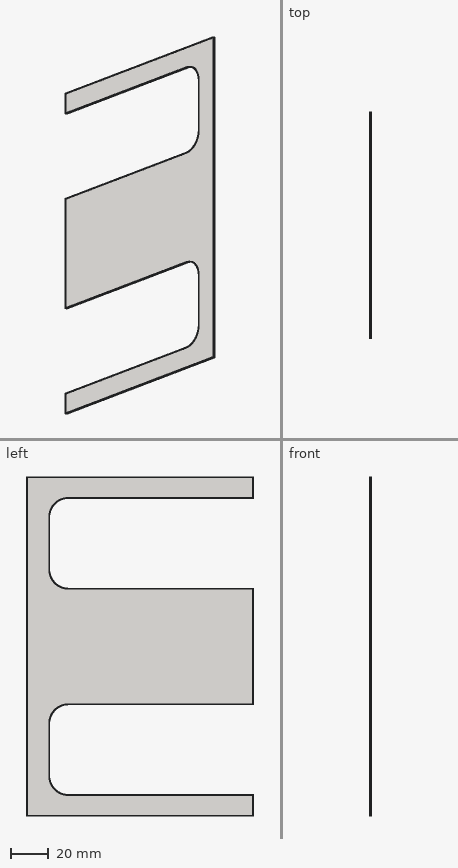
import cadquery as cq

thickness = 1.0
width = 120.0
height = 180.0

spine_width = 11.9
arm_height = 11.2
slot_height = 48.0
slot_corner_radius = 10.0

slot_length = width - spine_width
slot_center_y = -spine_width / 2
slot_center_z = height / 2 - arm_height - slot_height / 2


def open_slot(center_z):
    """Slot open at the -Y edge, with both inner corners rounded."""
    return (
        cq.Workplane("XY")
        .box(thickness, slot_length, slot_height)
        .edges("|X and >Y")
        .fillet(slot_corner_radius)
        .translate((0, slot_center_y, center_z))
    )


result = cq.Workplane("XY").box(thickness, width, height)
for side in (-1, 1):
    result = result.cut(open_slot(side * slot_center_z))